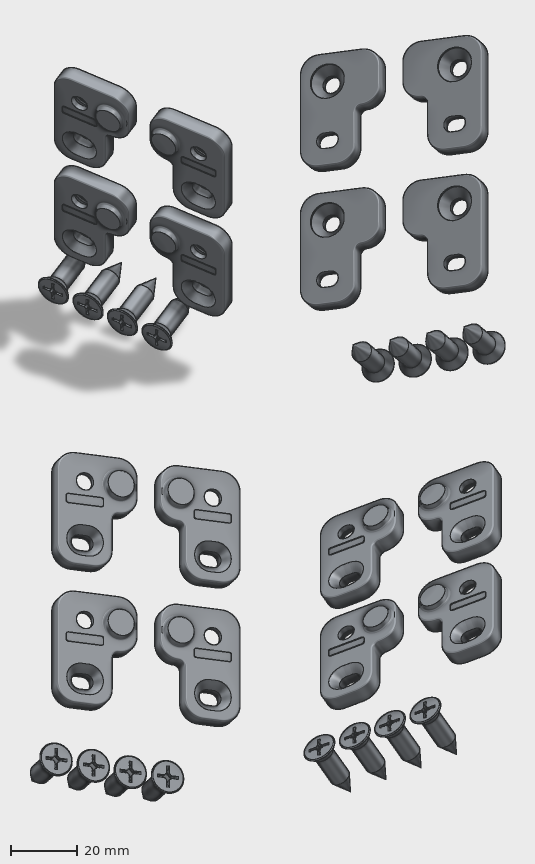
import cadquery as cq
OVERALL_WIDTH = 64.7
OVERALL_HEIGHT = 105.5
RIGHT_EDGE = OVERALL_WIDTH / 2
TOP_EDGE = OVERALL_HEIGHT / 2
PLATE_SPAN = 59.2
ROW_PITCH = 44.4

PLATE_WIDTH = 26.0
PLATE_HEIGHT = 36.0
PLATE_THICKNESS = 5.4
LEG_WIDTH = 17.9
LOBE_HEIGHT = 18.0
CORNER_RADIUS = 6.0
INNER_RADIUS = PLATE_WIDTH - LEG_WIDTH - CORNER_RADIUS
EDGE_RADIUS = 0.6
LEG_CENTRE = LEG_WIDTH / 2
LOBE_CENTRE = LOBE_HEIGHT / 2

HOLE_DIAMETER = 5.5
HOLE_LAND = 1.9
REAR_SINK_DEPTH = 2.7

SLOT_STRAIGHT = 2.0
SLOT_WIDTH = 5.0
SINK_DEPTH = 2.4
SINK_ANGLE = 45
SLOT_DROP = 28.0

BOSS_CENTRE = PLATE_WIDTH - CORNER_RADIUS
BOSS_HEIGHT = 1.9
BOSS_TOP_RADIUS = 4.2
BOSS_SIDE_RADIUS = 4.5
BOSS_FOOT_RADIUS = 5.5
BOSS_FLARE = 0.6
BOSS_ROOT = 0.5
FLARE_BULGE = 0.3

PANEL_WIDTH = 12.0
PANEL_HEIGHT = 3.0
PANEL_CORNER = 0.7
PANEL_DEPTH = 0.3
PANEL_DROP = 15.0

SCREW_LENGTH = 20.9
HEAD_DIAMETER = 10.4
HEAD_RIM = 0.4
HEAD_CHAMFER = 0.3
HEAD_HEIGHT = 3.1
SHANK_DIAMETER = 6.3
TIP_LENGTH = 7.0
SCREW_OFFSETS = [0.0, 12.0, 24.0, 36.0]
SCREW_RISES = [1.1, 0.5, 0.0, 0.0]
FIRST_SCREW_X = (HEAD_DIAMETER - OVERALL_WIDTH) / 2
LOWEST_SCREW_Z = (HEAD_DIAMETER - OVERALL_HEIGHT) / 2

CROSS_SPAN = 6.8
CROSS_ARM = 0.8
CROSS_CORE = 2.1
CROSS_DEPTH = 1.1
CORE_DEPTH = 1.6

ROWS = 2


def front_plane():
    """Sketch plane of the front faces; its normal points to -Y."""
    return cq.Workplane("XZ")


def revolve_about_y(profile):
    return profile.revolve(360, (0, 0, 0), (0, 1, 0))


def plate_blank():
    """Plate body with the upper left corner of its outline at X = 0, Z = 0."""
    outer = CORNER_RADIUS
    blank = (
        front_plane()
        .moveTo(outer, 0)
        .lineTo(PLATE_WIDTH - outer, 0)
        .radiusArc((PLATE_WIDTH, -outer), outer)
        .lineTo(PLATE_WIDTH, outer - LOBE_HEIGHT)
        .radiusArc((PLATE_WIDTH - outer, -LOBE_HEIGHT), outer)
        .radiusArc((LEG_WIDTH, -LOBE_HEIGHT - INNER_RADIUS), -INNER_RADIUS)
        .lineTo(LEG_WIDTH, outer - PLATE_HEIGHT)
        .radiusArc((LEG_WIDTH - outer, -PLATE_HEIGHT), outer)
        .lineTo(outer, -PLATE_HEIGHT)
        .radiusArc((0, outer - PLATE_HEIGHT), outer)
        .lineTo(0, -outer)
        .radiusArc((outer, 0), outer)
        .close()
        .extrude(-PLATE_THICKNESS)
    )
    return blank.faces("<Y or >Y").edges().fillet(EDGE_RADIUS)


def countersunk_slot():
    sink = (
        front_plane()
        .center(LEG_CENTRE, -SLOT_DROP)
        .slot2D(SLOT_STRAIGHT + SLOT_WIDTH + 2 * SINK_DEPTH, SLOT_WIDTH + 2 * SINK_DEPTH)
        .extrude(-SINK_DEPTH, taper=SINK_ANGLE)
    )
    through = (
        front_plane()
        .center(LEG_CENTRE, -SLOT_DROP)
        .slot2D(SLOT_STRAIGHT + SLOT_WIDTH, SLOT_WIDTH)
        .extrude(-PLATE_THICKNESS)
    )
    return sink.union(through)


def boss():
    flare_middle = (
        BOSS_SIDE_RADIUS + FLARE_BULGE * (BOSS_FOOT_RADIUS - BOSS_SIDE_RADIUS),
        -FLARE_BULGE * BOSS_FLARE,
    )
    profile = (
        cq.Workplane("XY")
        .moveTo(0, BOSS_ROOT)
        .lineTo(BOSS_FOOT_RADIUS, BOSS_ROOT)
        .lineTo(BOSS_FOOT_RADIUS, 0)
        .threePointArc(flare_middle, (BOSS_SIDE_RADIUS, -BOSS_FLARE))
        .lineTo(BOSS_TOP_RADIUS, -BOSS_HEIGHT)
        .lineTo(0, -BOSS_HEIGHT)
        .close()
    )
    return revolve_about_y(profile).translate((BOSS_CENTRE, 0, -LOBE_CENTRE))


def rear_countersunk_hole():
    """Plain hole at the front that opens into a screw-head recess at the back."""
    hole_radius = HOLE_DIAMETER / 2
    sink_radius = hole_radius + REAR_SINK_DEPTH
    profile = (
        cq.Workplane("XY")
        .polyline(
            [
                (0, 0),
                (hole_radius, 0),
                (hole_radius, HOLE_LAND),
                (sink_radius, HOLE_LAND + REAR_SINK_DEPTH),
                (sink_radius, PLATE_THICKNESS),
                (0, PLATE_THICKNESS),
            ]
        )
        .close()
    )
    return revolve_about_y(profile).translate((LEG_CENTRE, 0, -LOBE_CENTRE))


def name_panel():
    return (
        front_plane()
        .center(LEG_CENTRE, -PANEL_DROP)
        .rect(PANEL_WIDTH, PANEL_HEIGHT)
        .extrude(-PANEL_DEPTH)
        .edges("|Y")
        .fillet(PANEL_CORNER)
    )


def left_plate():
    plate = plate_blank().union(boss())
    return plate.cut(rear_countersunk_hole()).cut(countersunk_slot()).cut(name_panel())


def cross_arms():
    """One straight bar of the cross recess, along X, with sloping ends."""
    half_span = CROSS_SPAN / 2
    return (
        cq.Workplane("XY")
        .polyline(
            [
                (-half_span, 0),
                (half_span, 0),
                (half_span - CROSS_DEPTH, CROSS_DEPTH),
                (CROSS_DEPTH - half_span, CROSS_DEPTH),
            ]
        )
        .close()
        .extrude(CROSS_ARM / 2, both=True)
    )


def screw():
    half_head = HEAD_DIAMETER / 2
    half_shank = SHANK_DIAMETER / 2
    profile = (
        cq.Workplane("XY")
        .polyline(
            [
                (0, 0),
                (half_head - HEAD_CHAMFER, 0),
                (half_head, HEAD_CHAMFER),
                (half_head, HEAD_RIM),
                (half_shank, HEAD_HEIGHT),
                (half_shank, SCREW_LENGTH - TIP_LENGTH),
                (0, SCREW_LENGTH),
            ]
        )
        .close()
    )
    arms = cross_arms()
    upright_arms = arms.rotate((0, 0, 0), (0, 1, 0), 90)
    core = front_plane().rect(CROSS_CORE, CROSS_CORE).extrude(-CORE_DEPTH)
    core = core.rotate((0, 0, 0), (0, 1, 0), 45)
    return revolve_about_y(profile).cut(arms).cut(upright_arms).cut(core)


left = left_plate()
right = left.mirror("YZ")
left_x = RIGHT_EDGE - PLATE_SPAN
left_plates = [left.translate((left_x, 0, TOP_EDGE - row * ROW_PITCH)).val() for row in range(ROWS)]
right_plates = [right.translate((RIGHT_EDGE, 0, TOP_EDGE - row * ROW_PITCH)).val() for row in range(ROWS)]
screws = [
    screw().translate((FIRST_SCREW_X + offset, 0, LOWEST_SCREW_Z + rise)).val()
    for offset, rise in zip(SCREW_OFFSETS, SCREW_RISES)
]

result = cq.Compound.makeCompound([*left_plates, *right_plates, *screws])